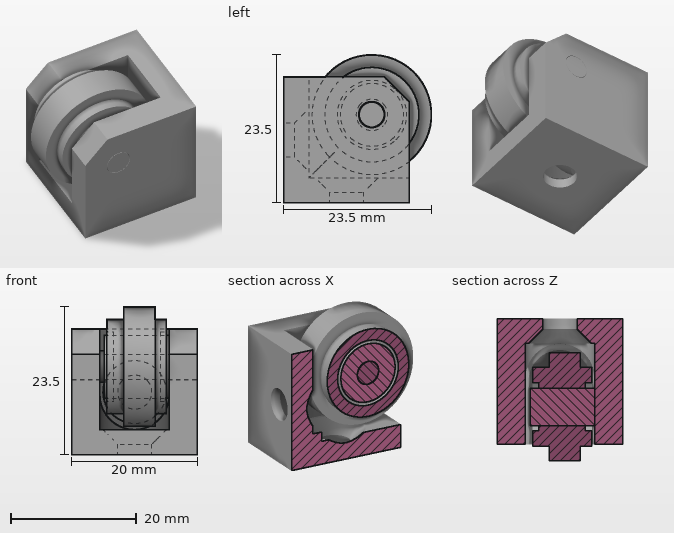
import cadquery as cq
import math


BLOCK = 20.0
WALL = 4.0
CAVITY_WIDTH = 11.0
CHAMFER = 4.0
SCREW_DIAMETER = 5.4
COUNTERSINK_DIAMETER = 10.0
COUNTERSINK_ANGLE = 90.0

AXLE_OFFSET = 14.0
PIN_DIAMETER = 4.0
PIN_HOLE_DIAMETER = 4.14

SPACER_DIAMETER = 5.0
BUSHING_DIAMETER = 10.0
RECESS_DIAMETER = 11.0
RECESS_DEPTH = 1.0
HUB_DIAMETER = 15.0
RIM_DIAMETER = 19.0
BUSHING_START = -4.8
HUB_START = -4.4
HUB_END = 5.08
RIM_START = -1.72
RIM_WIDTH = 5.0

half_block = BLOCK / 2
half_cavity = CAVITY_WIDTH / 2
back_wall_y = half_block - WALL
axle_y = half_block - AXLE_OFFSET
axle_z = AXLE_OFFSET


def axle_cylinder(diameter, start, end):
    """Cylinder on the pin axis between two X positions."""
    plane = cq.Plane(origin=(start, axle_y, axle_z), xDir=(0, 1, 0), normal=(1, 0, 0))
    return cq.Workplane(plane).circle(diameter / 2).extrude(end - start)


def axle_ring(outer_diameter, inner_diameter, start, end):
    return axle_cylinder(outer_diameter, start, end).cut(axle_cylinder(inner_diameter, start, end))


def slot(plane, open_end, round_end, length):
    """U-shaped slot whose round end has the full cavity width, extruded along the plane normal."""
    straight_end = round_end - math.copysign(half_cavity, round_end - open_end)
    return (
        cq.Workplane(plane)
        .moveTo(-half_cavity, open_end)
        .lineTo(-half_cavity, straight_end)
        .threePointArc((0, round_end), (half_cavity, straight_end))
        .lineTo(half_cavity, open_end)
        .close()
        .extrude(length)
    )


def make_cavity():
    """Upright and level U-slots that meet in the lower back corner."""
    upright_plane = cq.Plane(origin=(0, 0, WALL), xDir=(1, 0, 0), normal=(0, 0, 1))
    level_plane = cq.Plane(origin=(0, back_wall_y, 0), xDir=(1, 0, 0), normal=(0, -1, 0))
    upright_slot = slot(upright_plane, -half_block, back_wall_y, BLOCK - WALL)
    level_slot = slot(level_plane, BLOCK, WALL, BLOCK - WALL)
    return upright_slot.union(level_slot)


def screw_hole_tool(start, direction):
    """Countersunk through hole, cut from the cavity side outward."""
    sink_depth = (COUNTERSINK_DIAMETER - SCREW_DIAMETER) / 2 / math.tan(math.radians(COUNTERSINK_ANGLE / 2))
    start = cq.Vector(*start)
    direction = cq.Vector(*direction)
    sink = cq.Solid.makeCone(COUNTERSINK_DIAMETER / 2, SCREW_DIAMETER / 2, sink_depth, start, direction)
    hole = cq.Solid.makeCylinder(SCREW_DIAMETER / 2, WALL, start, direction)
    return cq.Workplane(sink.fuse(hole))


def make_housing():
    block = cq.Workplane("XY").box(BLOCK, BLOCK, BLOCK, centered=(True, True, False))
    block = block.faces(">Z").edges("<Y").chamfer(CHAMFER)
    return (
        block.cut(make_cavity())
        .cut(screw_hole_tool((0, 0, WALL), (0, 0, -1)))
        .cut(screw_hole_tool((0, back_wall_y, half_block), (0, 1, 0)))
        .cut(axle_cylinder(PIN_HOLE_DIAMETER, -half_block, half_block))
    )


def make_pin():
    return axle_cylinder(PIN_DIAMETER, -half_block, half_block)


def make_spacer():
    return axle_ring(SPACER_DIAMETER, PIN_DIAMETER, -half_cavity, BUSHING_START)


def make_bushing():
    return axle_ring(BUSHING_DIAMETER, PIN_DIAMETER, BUSHING_START, half_cavity)


def make_wheel():
    """Roller with a raised rim around its recessed hub."""
    hub = axle_cylinder(HUB_DIAMETER, HUB_START, HUB_END)
    rim = axle_cylinder(RIM_DIAMETER, RIM_START, RIM_START + RIM_WIDTH)
    return (
        hub.union(rim)
        .cut(axle_cylinder(BUSHING_DIAMETER, HUB_START, HUB_END))
        .cut(axle_cylinder(RECESS_DIAMETER, HUB_START, HUB_START + RECESS_DEPTH))
        .cut(axle_cylinder(RECESS_DIAMETER, HUB_END - RECESS_DEPTH, HUB_END))
    )


housing = make_housing()
pin = make_pin()
spacer = make_spacer()
bushing = make_bushing()
wheel = make_wheel()

result = cq.Compound.makeCompound([
    housing.val(),
    pin.val(),
    spacer.val(),
    bushing.val(),
    wheel.val(),
])